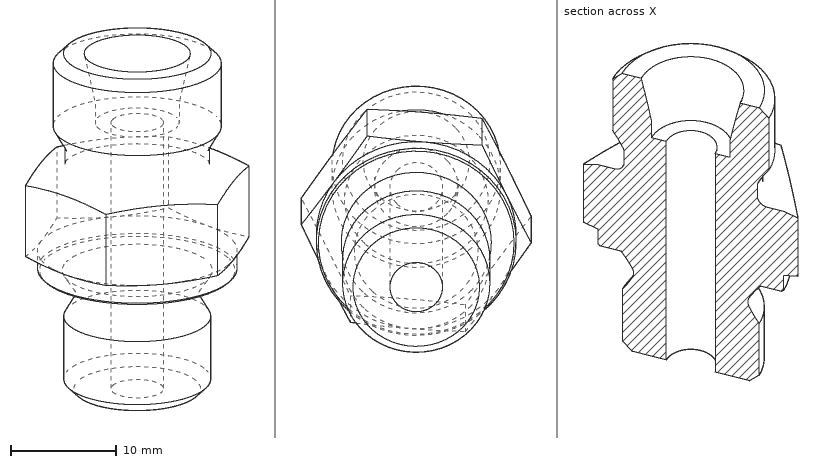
import cadquery as cq
import math

total_height = 34.0
flange_bottom = 12.0
hex_bottom = 14.0
hex_top = 22.0

across_flats = 19.0
hex_chamfer_angle = 15.0
flange_radius = across_flats / 2
flange_chamfer = 0.2

end_chamfer = 1.0
thread_cone_angle = 30.0
thread_length = 7.38
upper_radius = 16.0 / 2
lower_radius = 14.0 / 2

upper_neck_radius = 13.7 / 2
neck_fillet = 1.0

waist_bottom = 9.1
waist_top = 10.47
waist_top_radius = 6.12
waist_radius = 5.88
waist_middle = 9.75
flange_cone_radius = 7.15

bore_radius = 5.0 / 2
socket_mouth_radius = 10.1 / 2
socket_seat_radius = 8.0 / 2
socket_taper_angle = 12.0
socket_depth = 7.0


def make_round_body():
    """Revolve the outer profile of both ends, the necks and the flange."""
    cone_slope = math.tan(math.radians(thread_cone_angle))
    waist_bottom_radius = lower_radius - (waist_bottom - thread_length) * cone_slope

    angle = math.radians(thread_cone_angle)
    upper_cone_top = total_height - thread_length
    blend_top_radius = upper_neck_radius + neck_fillet * (1 - math.cos(angle))
    blend_top = upper_cone_top - (upper_radius - blend_top_radius) / cone_slope
    blend_bottom = blend_top - neck_fillet * math.sin(angle)
    blend_middle = (
        upper_neck_radius + neck_fillet * (1 - math.cos(angle / 2)),
        blend_bottom + neck_fillet * math.sin(angle / 2),
    )

    root_middle_offset = neck_fillet * (1 - math.sqrt(0.5))
    root_middle = (upper_neck_radius + root_middle_offset, hex_top + root_middle_offset)

    profile = (
        cq.Workplane("XZ")
        .moveTo(0, 0)
        .lineTo(lower_radius - end_chamfer, 0)
        .lineTo(lower_radius, end_chamfer)
        .lineTo(lower_radius, thread_length)
        .lineTo(waist_bottom_radius, waist_bottom)
        .threePointArc((waist_radius, waist_middle), (waist_top_radius, waist_top))
        .lineTo(flange_cone_radius, flange_bottom)
        .lineTo(flange_radius - flange_chamfer, flange_bottom)
        .lineTo(flange_radius, flange_bottom + flange_chamfer)
        .lineTo(flange_radius, hex_top)
        .lineTo(upper_neck_radius + neck_fillet, hex_top)
        .threePointArc(root_middle, (upper_neck_radius, hex_top + neck_fillet))
        .lineTo(upper_neck_radius, blend_bottom)
        .threePointArc(blend_middle, (blend_top_radius, blend_top))
        .lineTo(upper_radius, upper_cone_top)
        .lineTo(upper_radius, total_height - end_chamfer)
        .lineTo(upper_radius - end_chamfer, total_height)
        .lineTo(0, total_height)
        .close()
    )
    return profile.revolve(360, (0, 0), (0, 1))


def make_hexagon():
    """Hexagon with points along Y and its corners turned down conically."""
    corner_radius = across_flats / math.sqrt(3)
    hexagon = (
        cq.Workplane("XY", origin=(0, 0, hex_bottom))
        .polygon(6, 2 * corner_radius)
        .extrude(hex_top - hex_bottom)
        .rotate((0, 0, 0), (0, 0, 1), 30)
    )
    corner_drop = (corner_radius - flange_radius) * math.tan(math.radians(hex_chamfer_angle))
    turning_envelope = (
        cq.Workplane("XZ")
        .moveTo(0, hex_bottom)
        .lineTo(flange_radius, hex_bottom)
        .lineTo(corner_radius, hex_bottom + corner_drop)
        .lineTo(corner_radius, hex_top - corner_drop)
        .lineTo(flange_radius, hex_top)
        .lineTo(0, hex_top)
        .close()
        .revolve(360, (0, 0), (0, 1))
    )
    return hexagon.intersect(turning_envelope)


def make_bore():
    """Through bore opening into a stepped, tapered socket at the upper end."""
    taper_depth = (socket_mouth_radius - socket_seat_radius) / math.tan(math.radians(socket_taper_angle))
    socket_floor = total_height - socket_depth
    return (
        cq.Workplane("XZ")
        .moveTo(0, 0)
        .lineTo(bore_radius, 0)
        .lineTo(bore_radius, socket_floor)
        .lineTo(socket_seat_radius, socket_floor)
        .lineTo(socket_seat_radius, total_height - taper_depth)
        .lineTo(socket_mouth_radius, total_height)
        .lineTo(0, total_height)
        .close()
        .revolve(360, (0, 0), (0, 1))
    )


result = make_round_body().union(make_hexagon()).cut(make_bore())